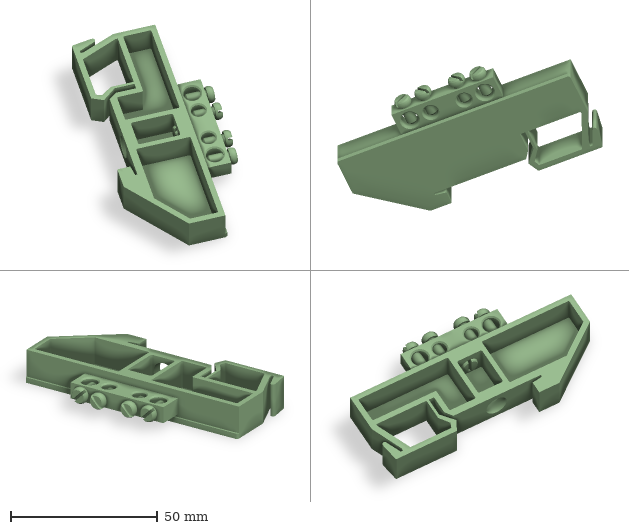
import cadquery as cq
import math

LENGTH = 87.0
WIDTH = 12.0
MID_Z = WIDTH / 2
BODY_TOP = 30.0
BODY_BOTTOM = 6.0
WALL = 2.0
LIP_HEIGHT = 0.8
LIP_WIDTH = 2.0
LIP_END_CHAMFER = 0.4

RIGHT_WALL_FOOT = 17.0
RAMP_FOOT_X = 65.3
JAW_X = 57.4
JAW_TIP_Y = 4.6
JAW_SLOT_END_X = 61.4
JAW_SLOT_Y = 5.2

LEFT_WALL_FOOT = 15.0
LATCH_TOP = BODY_TOP - 14.0
SLOT_INNER_X = 25.0
SLOT_OUTER_X = 23.0
STRIP_X = 22.05
SLOT_BEND_Y = 8.9
STRIP_BEND_Y = 7.8
CORNER_X = 27.0
CATCH_Y = 4.0
CATCH_INNER_X = 24.7
WINDOW_FOOT_X = 23.9
LATCH_FOOT_X = 25.0

ARM_SLOT_LEFT_X = 4.0
ARM_SLOT_RIGHT_X = 4.9
ARM_SLOT_TURN_Y = 3.0
PRONG_RADIUS = 0.8
PRONG_ROUND_Y = 7.5
PRONG_BEND_Y = 6.9
PRONG_FOOT_X = 1.0
PRONG_FOOT_RADIUS = 0.5
WINDOW_TOP_X = 2.35
WINDOW_CORNER_Y = 15.2
WINDOW_BOTTOM_X = 7.8

POCKET_DEPTH = 10.0
POCKET_BOTTOM = 8.6
POCKET_TOP = BODY_TOP - WALL
POCKET_RADIUS = 0.5
LEFT_POCKET_END_X = 37.3
LEFT_POCKET_SHELF = LATCH_TOP + WALL
RIGHT_POCKET_START_X = 50.6

SCREW_BAY_LENGTH = 9.8
SCREW_BAY_BOTTOM = 10.0
SCREW_BAY_TOP = 25.0
SCREW_BAY_RADIUS = 0.7
DRIVER_HOLE_DIAMETER = 8.0

BLOCK_LENGTH = 38.0
BLOCK_HEIGHT = 9.0
BLOCK_WIDTH = 6.0
BLOCK_START_X = 25.0
BLOCK_MID_X = BLOCK_START_X + BLOCK_LENGTH / 2
BLOCK_TOP = BODY_TOP + BLOCK_HEIGHT
WIRE_HOLE_Y = BODY_TOP + BLOCK_HEIGHT / 2
WIRE_HOLE_CHAMFER = 0.5
LARGE_WIRE_DIAMETER = 6.0
SMALL_WIRE_DIAMETER = 5.0
LARGE_WIRE_OFFSET = 14.0
SMALL_WIRE_OFFSET = 6.25

HEAD_HEIGHT = 2.5
HEAD_BULGE = 0.25
HEAD_BEVEL_HEIGHT = 0.45
HEAD_BEVEL_INSET = 0.6
SLOT_DEPTH = 1.7

CLAMP_HEAD_DIAMETER = 6.0
CLAMP_SHANK_DIAMETER = 3.9
CLAMP_SHANK_LENGTH = 7.8
CLAMP_TIP_CHAMFER = 0.8
CLAMP_SLOT_WIDTH = 1.0
SMALL_CLAMP_GAP = 1.15
LARGE_CLAMP_GAP = 0.6
SMALL_CLAMP_SLOT_ANGLE = -45.0
LARGE_CLAMP_SLOT_ANGLE = 45.0

FIXING_HEAD_DIAMETER = 7.0
FIXING_HEAD_PROJECTION = 0.8
FIXING_SHANK_DIAMETER = 4.0
FIXING_SHANK_LENGTH = 8.0
FIXING_TIP_CHAMFER = 0.5
FIXING_SLOT_WIDTH = 1.3
FIXING_SEAT_Y = SCREW_BAY_TOP - FIXING_HEAD_PROJECTION + HEAD_HEIGHT

TERMINALS = []
for side in (-1, 1):
    TERMINALS.append((BLOCK_MID_X + side * LARGE_WIRE_OFFSET, LARGE_WIRE_DIAMETER,
                      LARGE_CLAMP_GAP, LARGE_CLAMP_SLOT_ANGLE))
    TERMINALS.append((BLOCK_MID_X + side * SMALL_WIRE_OFFSET, SMALL_WIRE_DIAMETER,
                      SMALL_CLAMP_GAP, SMALL_CLAMP_SLOT_ANGLE))


def cylinder_along_y(diameter, x, y_start, y_end):
    """Cylinder on the mid-width plane, running along +Y from y_start to y_end."""
    return cq.Workplane(cq.Solid.makeCylinder(
        diameter / 2, y_end - y_start, cq.Vector(x, y_start, MID_Z), cq.Vector(0, 1, 0)))


def housing_outline():
    """Side profile of the housing, with the rail latch on the left and the fixed jaw on the right."""
    arm_tilt = math.atan2(ARM_SLOT_RIGHT_X, LEFT_WALL_FOOT - ARM_SLOT_TURN_Y)
    prong_shoulder_x = PRONG_RADIUS * (1 + math.cos(arm_tilt))
    prong_shoulder_y = PRONG_ROUND_Y + PRONG_RADIUS * math.sin(arm_tilt)
    profile = (
        cq.Workplane("XY")
        .moveTo(0, BODY_TOP)
        .lineTo(0, LEFT_WALL_FOOT)
        .lineTo(ARM_SLOT_RIGHT_X, ARM_SLOT_TURN_Y)
        .lineTo(ARM_SLOT_RIGHT_X, WALL)
        .lineTo(ARM_SLOT_LEFT_X, WALL)
        .lineTo(prong_shoulder_x, prong_shoulder_y)
        .threePointArc((PRONG_RADIUS, PRONG_ROUND_Y + PRONG_RADIUS), (0, PRONG_ROUND_Y))
        .lineTo(0, PRONG_BEND_Y)
        .lineTo(PRONG_FOOT_X, 0)
        .lineTo(LATCH_FOOT_X, 0)
        .lineTo(CORNER_X, CATCH_Y)
        .lineTo(SLOT_OUTER_X, SLOT_BEND_Y)
        .lineTo(SLOT_OUTER_X, LATCH_TOP)
        .lineTo(SLOT_INNER_X, LATCH_TOP)
        .lineTo(SLOT_INNER_X, SLOT_BEND_Y)
        .lineTo(CORNER_X, BODY_BOTTOM)
        .lineTo(JAW_SLOT_END_X, BODY_BOTTOM)
        .lineTo(JAW_SLOT_END_X, JAW_SLOT_Y)
        .lineTo(JAW_X, JAW_TIP_Y)
        .lineTo(JAW_X, 0)
        .lineTo(RAMP_FOOT_X, 0)
        .lineTo(LENGTH, RIGHT_WALL_FOOT)
        .lineTo(LENGTH, BODY_TOP)
        .close()
        .extrude(WIDTH)
    )
    prong_foot = cq.selectors.NearestToPointSelector((PRONG_FOOT_X, 0, MID_Z))
    return profile.edges(prong_foot).fillet(PRONG_FOOT_RADIUS)


def latch_window():
    """Opening through the full width that makes the latch springy."""
    return (
        cq.Workplane("XY")
        .polyline([
            (WINDOW_TOP_X, LATCH_TOP),
            (WINDOW_TOP_X, WINDOW_CORNER_Y),
            (WINDOW_BOTTOM_X, WALL),
            (WINDOW_FOOT_X, WALL),
            (CATCH_INNER_X, CATCH_Y),
            (STRIP_X, STRIP_BEND_Y),
            (STRIP_X, LATCH_TOP),
        ])
        .close()
        .extrude(WIDTH)
    )


def pocket(points, radius):
    """Blind pocket with rounded corners, open at the +Z face."""
    return (
        cq.Workplane("XY", origin=(0, 0, WIDTH - POCKET_DEPTH))
        .polyline(points)
        .close()
        .extrude(POCKET_DEPTH)
        .edges("|Z")
        .fillet(radius)
    )


def left_pocket():
    return pocket([
        (WALL, POCKET_TOP),
        (LEFT_POCKET_END_X, POCKET_TOP),
        (LEFT_POCKET_END_X, POCKET_BOTTOM),
        (CORNER_X, POCKET_BOTTOM),
        (CORNER_X, LEFT_POCKET_SHELF),
        (WALL, LEFT_POCKET_SHELF),
    ], POCKET_RADIUS)


def right_pocket():
    """Pocket whose sloping side leaves one wall thickness beside the outer ramp."""
    end_x = LENGTH - WALL
    ramp_slope = RIGHT_WALL_FOOT / (LENGTH - RAMP_FOOT_X)
    wall_along_y = WALL * math.hypot(1, ramp_slope)
    ramp_end_y = RIGHT_WALL_FOOT - WALL * ramp_slope + wall_along_y
    ramp_start_x = end_x - (ramp_end_y - POCKET_BOTTOM) / ramp_slope
    return pocket([
        (RIGHT_POCKET_START_X, POCKET_TOP),
        (end_x, POCKET_TOP),
        (end_x, ramp_end_y),
        (ramp_start_x, POCKET_BOTTOM),
        (RIGHT_POCKET_START_X, POCKET_BOTTOM),
    ], POCKET_RADIUS)


def screw_bay():
    start_x = BLOCK_MID_X - SCREW_BAY_LENGTH / 2
    end_x = BLOCK_MID_X + SCREW_BAY_LENGTH / 2
    return pocket([
        (start_x, SCREW_BAY_TOP),
        (end_x, SCREW_BAY_TOP),
        (end_x, SCREW_BAY_BOTTOM),
        (start_x, SCREW_BAY_BOTTOM),
    ], SCREW_BAY_RADIUS)


def top_lip():
    """Low rib along the -Z edge of the top face."""
    return (
        cq.Workplane("XY")
        .polyline([
            (0, BODY_TOP),
            (LENGTH, BODY_TOP),
            (LENGTH - LIP_END_CHAMFER, BODY_TOP + LIP_HEIGHT),
            (LIP_END_CHAMFER, BODY_TOP + LIP_HEIGHT),
        ])
        .close()
        .extrude(LIP_WIDTH)
    )


def make_housing():
    driver_hole = cylinder_along_y(DRIVER_HOLE_DIAMETER, BLOCK_MID_X, BODY_BOTTOM,
                                   (SCREW_BAY_BOTTOM + SCREW_BAY_TOP) / 2)
    head_seat = cylinder_along_y(FIXING_HEAD_DIAMETER, BLOCK_MID_X, SCREW_BAY_TOP, FIXING_SEAT_Y)
    shank_hole = cylinder_along_y(FIXING_SHANK_DIAMETER, BLOCK_MID_X, SCREW_BAY_TOP, BODY_TOP)
    return (
        housing_outline()
        .union(top_lip())
        .cut(latch_window())
        .cut(left_pocket())
        .cut(right_pocket())
        .cut(screw_bay())
        .cut(driver_hole)
        .cut(head_seat)
        .cut(shank_hole)
    )


def make_block():
    block = cq.Workplane("XY").box(BLOCK_LENGTH, BLOCK_HEIGHT, BLOCK_WIDTH).translate(
        (BLOCK_MID_X, WIRE_HOLE_Y, MID_Z))
    for x, wire_diameter, _, _ in TERMINALS:
        block = block.cut(wire_hole(x, wire_diameter))
        block = block.cut(cylinder_along_y(CLAMP_SHANK_DIAMETER, x, WIRE_HOLE_Y, BLOCK_TOP))
    fixing_hole_end = FIXING_SEAT_Y + FIXING_SHANK_LENGTH
    return block.cut(cylinder_along_y(FIXING_SHANK_DIAMETER, BLOCK_MID_X, BODY_TOP, fixing_hole_end))


def wire_hole(x, diameter):
    """Hole through the block along Z, widened by a chamfer at both mouths."""
    half_width = BLOCK_WIDTH / 2
    radius = diameter / 2
    mouth_radius = radius + WIRE_HOLE_CHAMFER
    chamfer_start = half_width - WIRE_HOLE_CHAMFER
    return (
        cq.Workplane("XZ")
        .polyline([
            (0, -half_width),
            (mouth_radius, -half_width),
            (radius, -chamfer_start),
            (radius, chamfer_start),
            (mouth_radius, half_width),
            (0, half_width),
        ])
        .close()
        .revolve(360, (0, 0, 0), (0, 1, 0))
        .translate((x, WIRE_HOLE_Y, MID_Z))
    )


def slotted_screw(head_diameter, shank_diameter, shank_length, tip_chamfer, slot_width):
    """Slotted screw along Z: bevelled barrel head above Z = 0, shank below, slot along X."""
    radius = head_diameter / 2
    rim_radius = radius - HEAD_BULGE
    rim_height = HEAD_HEIGHT - HEAD_BEVEL_HEIGHT
    head = (
        cq.Workplane("XZ")
        .lineTo(rim_radius, 0)
        .threePointArc((radius, rim_height / 2), (rim_radius, rim_height))
        .lineTo(radius - HEAD_BEVEL_INSET, HEAD_HEIGHT)
        .lineTo(0, HEAD_HEIGHT)
        .close()
        .revolve(360, (0, 0, 0), (0, 1, 0))
    )
    shank = (
        cq.Workplane("XY")
        .circle(shank_diameter / 2)
        .extrude(-shank_length)
        .faces("<Z").edges().chamfer(tip_chamfer)
    )
    slot = cq.Workplane("XY", origin=(0, 0, HEAD_HEIGHT - SLOT_DEPTH)).box(
        head_diameter, slot_width, SLOT_DEPTH, centered=(True, True, False))
    return head.cut(slot).union(shank)


def make_clamp_screw(x, head_gap, slot_angle):
    """Terminal screw with its head above the block and its tip in the wire hole."""
    return (
        slotted_screw(CLAMP_HEAD_DIAMETER, CLAMP_SHANK_DIAMETER, CLAMP_SHANK_LENGTH,
                      CLAMP_TIP_CHAMFER, CLAMP_SLOT_WIDTH)
        .rotate((0, 0, 0), (0, 0, 1), slot_angle)
        .rotate((0, 0, 0), (1, 0, 0), -90)
        .translate((x, BLOCK_TOP + head_gap, MID_Z))
    )


def make_fixing_screw():
    """Screw that holds the block: head in the screw bay, slot along Z, shank along +Y."""
    return (
        slotted_screw(FIXING_HEAD_DIAMETER, FIXING_SHANK_DIAMETER, FIXING_SHANK_LENGTH,
                      FIXING_TIP_CHAMFER, FIXING_SLOT_WIDTH)
        .rotate((0, 0, 0), (0, 0, 1), 90)
        .rotate((0, 0, 0), (1, 0, 0), 90)
        .translate((BLOCK_MID_X, FIXING_SEAT_Y, MID_Z))
    )


housing = make_housing()
block = make_block()
fixing_screw = make_fixing_screw()
clamp_screws = []
for terminal_x, _, gap, angle in TERMINALS:
    clamp_screws.append(make_clamp_screw(terminal_x, gap, angle))

result = cq.Compound.makeCompound([
    housing.val(),
    block.val(),
    fixing_screw.val(),
    *[screw.val() for screw in clamp_screws],
])